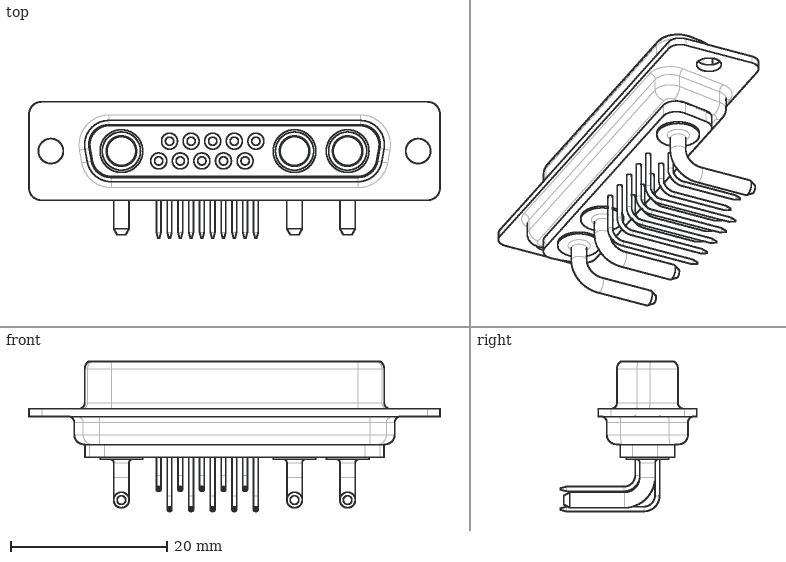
import cadquery as cq
import math


FLANGE_LENGTH = 52.65
FLANGE_DEPTH = 12.65
FLANGE_THICKNESS = 1.0
FLANGE_CORNER_RADIUS = 1.65
MOUNT_HOLE_DIAMETER = 3.15
MOUNT_HOLE_SPACING = 47.0
MOUNT_HOLE_X = MOUNT_HOLE_SPACING / 2

END_SLANT = math.radians(10)
SHELL_OUTLINE = (38.4, 7.85, 3.1)
SKIRT_OUTLINE = (41.05, 10.4, 2.1)
INSULATOR_OUTLINE = (38.35, 7.0, 1.9)
RECESS_INSET = 0.7

SHELL_TOP = 6.05
SHELL_ROUND_START = 5.1
SHELL_ROUND_RADIUS = 1.1
FOOT_RADIUS = 0.75
RECESS_DEPTH = 0.25
INSULATOR_TOP = SHELL_TOP - RECESS_DEPTH
SKIRT_BOTTOM = -4.6
SKIRT_ROUND_RADIUS = 1.25
INSULATOR_BOTTOM = -6.2
COLLAR_BOTTOM = -6.5

POWER_X = (-14.5, 7.7, 14.5)
COLLAR_DIAMETER = 5.5
POWER_RECESS_DEPTH = 0.4
POWER_FUNNEL_DIAMETER = 4.9
POWER_LIP_DIAMETER = 3.9
POWER_LIP_DEPTH = 0.3
POWER_BORE_DIAMETER = 3.7
POWER_FUNNEL_DEPTH = (POWER_FUNNEL_DIAMETER - POWER_LIP_DIAMETER) / 2
POWER_BORE_FLOOR = 0.0
POWER_PIN_DIAMETER = 2.0
POWER_PIN_Z = -11.7
POWER_BEND_RADIUS = 2.95
POWER_PIN_END_Y = -10.75
POWER_TIP_DIAMETER = 1.1
POWER_TIP_LENGTH = 0.8
POWER_ROOT_RADIUS = 0.4

SIGNAL_COUNT = 5
SIGNAL_ROW_LENGTH = 11.05
SIGNAL_PITCH = SIGNAL_ROW_LENGTH / (SIGNAL_COUNT - 1)
SIGNAL_ROW_Y = 1.25
SIGNAL_BACK_ROW_X = -8.3
SIGNAL_FRONT_ROW_X = SIGNAL_BACK_ROW_X - SIGNAL_PITCH / 2
SIGNAL_MOUTH_DIAMETER = 2.05
SIGNAL_BORE_DIAMETER = 1.05
SIGNAL_FUNNEL_DEPTH = 0.4
SIGNAL_BORE_DEPTH = 3.15
SIGNAL_PIN_DIAMETER = 0.65
SIGNAL_BACK_PIN_Z = -12.85
SIGNAL_FRONT_PIN_Z = -10.25
SIGNAL_BEND_RADIUS = 1.75
SIGNAL_PIN_END_Y = -11.15
SIGNAL_TIP_DIAMETER = 0.2
SIGNAL_TIP_LENGTH = 0.8


def d_prism(outline, z_start, z_end, inset=0.0):
    """D-shaped prism, longer at the back (+Y), whose ends slant inwards towards the front."""
    length, depth, radius = outline
    radius -= inset
    half_depth = depth / 2 - inset
    arc_x = length / 2 - inset - radius
    arc_y = half_depth - radius
    slant_x_at_arc = arc_x + radius / math.cos(END_SLANT)
    back_x = slant_x_at_arc + radius * math.tan(END_SLANT)
    front_x = slant_x_at_arc - (arc_y + half_depth) * math.tan(END_SLANT)
    corners = [
        (-back_x, half_depth),
        (back_x, half_depth),
        (front_x, -half_depth),
        (-front_x, -half_depth),
    ]
    prism = cq.Workplane("XY").workplane(offset=z_start).polyline(corners).close()
    return prism.extrude(z_end - z_start).edges("|Z").fillet(radius)


def foot_edges(outline, z):
    """Selector for the edges where a D-shaped prism meets the flange at height z."""
    x = outline[0] / 2 + FOOT_RADIUS
    y = outline[1] / 2 + FOOT_RADIUS
    margin = 0.05
    return cq.selectors.BoxSelector((-x, -y, z - margin), (x, y, z + margin))


def make_shell():
    """Flange with the upper D-shaped shell, the lower skirt, the top recess and mounting holes."""
    flange = (
        cq.Workplane("XY")
        .box(FLANGE_LENGTH, FLANGE_DEPTH, FLANGE_THICKNESS, centered=(True, True, False))
        .translate((0, 0, -FLANGE_THICKNESS))
        .edges("|Z")
        .fillet(FLANGE_CORNER_RADIUS)
    )
    round_top = SHELL_ROUND_START + SHELL_ROUND_RADIUS
    upper = d_prism(SHELL_OUTLINE, -FLANGE_THICKNESS / 2, round_top)
    upper = upper.faces(">Z").edges().fillet(SHELL_ROUND_RADIUS)
    above_shell = (
        cq.Workplane("XY")
        .box(FLANGE_LENGTH, FLANGE_DEPTH, SHELL_TOP, centered=(True, True, False))
        .translate((0, 0, SHELL_TOP))
    )
    upper = upper.cut(above_shell)
    skirt = d_prism(SKIRT_OUTLINE, SKIRT_BOTTOM, -FLANGE_THICKNESS / 2)
    skirt = skirt.faces("<Z").edges().fillet(SKIRT_ROUND_RADIUS)

    shell = flange.union(upper).union(skirt)
    shell = shell.edges(foot_edges(SHELL_OUTLINE, 0)).fillet(FOOT_RADIUS)
    shell = shell.edges(foot_edges(SKIRT_OUTLINE, -FLANGE_THICKNESS)).fillet(FOOT_RADIUS)

    recess = d_prism(SHELL_OUTLINE, INSULATOR_TOP, SHELL_TOP, RECESS_INSET)
    mount_holes = (
        cq.Workplane("XY")
        .pushPoints([(-MOUNT_HOLE_X, 0), (MOUNT_HOLE_X, 0)])
        .circle(MOUNT_HOLE_DIAMETER / 2)
        .extrude(-FLANGE_THICKNESS)
    )
    return shell.cut(recess).cut(mount_holes)


def bent_pin(y, z, z_top, diameter, bend_radius, end_y, tip_diameter, tip_length):
    """Pin at X = 0 that drops from z_top, bends towards -Y at height z and ends in a blunt cone."""
    tip_start_y = end_y + tip_length
    arc_offset = bend_radius * (1 - math.sqrt(0.5))
    path = (
        cq.Workplane("YZ")
        .moveTo(y, z_top)
        .lineTo(y, z + bend_radius)
        .threePointArc((y - arc_offset, z + arc_offset), (y - bend_radius, z))
        .lineTo(tip_start_y, z)
    )
    pin = cq.Workplane("XY", origin=(0, y, z_top)).circle(diameter / 2).sweep(path)
    tip = cq.Solid.makeCone(
        diameter / 2, tip_diameter / 2, tip_length, cq.Vector(0, tip_start_y, z), cq.Vector(0, -1, 0)
    )
    return pin.union(cq.Workplane(tip))


def revolved(profile):
    """Solid of revolution about Z from (radius, height) points."""
    return cq.Workplane("XZ").polyline(profile).close().revolve(360, (0, 0), (0, 1))


def make_power_pin():
    """Collar with a concave round running into the bent pin."""
    pin_radius = POWER_PIN_DIAMETER / 2
    root_bottom = COLLAR_BOTTOM - POWER_ROOT_RADIUS
    arc_offset = POWER_ROOT_RADIUS * (1 - math.sqrt(0.5))
    collar = (
        cq.Workplane("XZ")
        .moveTo(0, INSULATOR_BOTTOM)
        .lineTo(COLLAR_DIAMETER / 2, INSULATOR_BOTTOM)
        .lineTo(COLLAR_DIAMETER / 2, COLLAR_BOTTOM)
        .lineTo(pin_radius + POWER_ROOT_RADIUS, COLLAR_BOTTOM)
        .threePointArc(
            (pin_radius + arc_offset, COLLAR_BOTTOM - arc_offset), (pin_radius, root_bottom)
        )
        .lineTo(0, root_bottom)
        .close()
        .revolve(360, (0, 0), (0, 1))
    )
    pin = bent_pin(
        0, POWER_PIN_Z, root_bottom, POWER_PIN_DIAMETER, POWER_BEND_RADIUS,
        POWER_PIN_END_Y, POWER_TIP_DIAMETER, POWER_TIP_LENGTH,
    )
    return collar.union(pin)


def make_power_socket():
    """Wide shallow recess, 45 degree funnel, steep lip and flat-bottomed bore."""
    recess_floor = INSULATOR_TOP - POWER_RECESS_DEPTH
    funnel_bottom = recess_floor - POWER_FUNNEL_DEPTH
    return revolved([
        (0, INSULATOR_TOP),
        (COLLAR_DIAMETER / 2, INSULATOR_TOP),
        (COLLAR_DIAMETER / 2, recess_floor),
        (POWER_FUNNEL_DIAMETER / 2, recess_floor),
        (POWER_LIP_DIAMETER / 2, funnel_bottom),
        (POWER_BORE_DIAMETER / 2, funnel_bottom - POWER_LIP_DEPTH),
        (POWER_BORE_DIAMETER / 2, POWER_BORE_FLOOR),
        (0, POWER_BORE_FLOOR),
    ])


def make_signal_socket():
    """Funnel mouth and narrow bore with a conical bottom."""
    bore_radius = SIGNAL_BORE_DIAMETER / 2
    bore_end = INSULATOR_TOP - SIGNAL_BORE_DEPTH
    return revolved([
        (0, INSULATOR_TOP),
        (SIGNAL_MOUTH_DIAMETER / 2, INSULATOR_TOP),
        (bore_radius, INSULATOR_TOP - SIGNAL_FUNNEL_DEPTH),
        (bore_radius, bore_end),
        (0, bore_end - bore_radius),
    ])


connector = make_shell().union(d_prism(INSULATOR_OUTLINE, INSULATOR_BOTTOM, SKIRT_BOTTOM))

power_pin = make_power_pin()
power_socket = make_power_socket()
for x in POWER_X:
    connector = connector.union(power_pin.translate((x, 0, 0))).cut(power_socket.translate((x, 0, 0)))

signal_socket = make_signal_socket()
signal_rows = (
    (SIGNAL_BACK_ROW_X, SIGNAL_ROW_Y, SIGNAL_BACK_PIN_Z),
    (SIGNAL_FRONT_ROW_X, -SIGNAL_ROW_Y, SIGNAL_FRONT_PIN_Z),
)
for first_x, row_y, pin_z in signal_rows:
    signal_pin = bent_pin(
        row_y, pin_z, INSULATOR_BOTTOM, SIGNAL_PIN_DIAMETER, SIGNAL_BEND_RADIUS,
        SIGNAL_PIN_END_Y, SIGNAL_TIP_DIAMETER, SIGNAL_TIP_LENGTH,
    )
    for index in range(SIGNAL_COUNT):
        x = first_x + index * SIGNAL_PITCH
        connector = connector.union(signal_pin.translate((x, 0, 0)))
        connector = connector.cut(signal_socket.translate((x, row_y, 0)))

result = connector